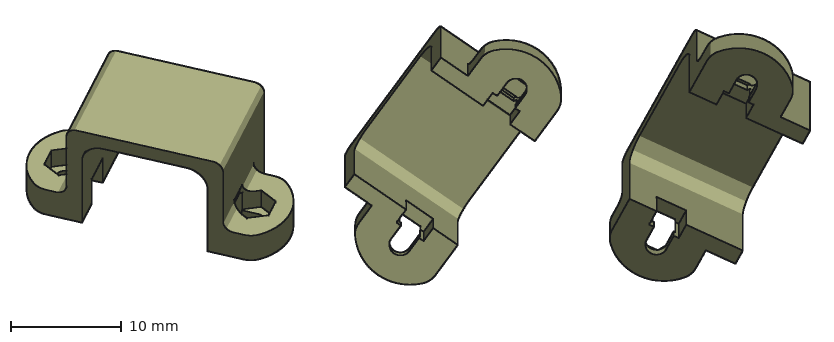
import cadquery as cq
import math

total_length = 25.0
depth = 11.5
height = 11.0
bridge_width = 15.0
wall = 1.5
outer_radius = 1.0
inner_radius = 2.0

tab_width = 8.5
tab_height = 3.0
tab_end_radius = 5.0
tab_corner_radius = 2.0
foot_radius = 1.0

slot_width = 2.0
nut_diameter = 4.0
nut_floor = 1.0
hole_x = 9.0

notch_width = 3.0
notch_height = tab_height

half_bridge = bridge_width / 2
half_opening = half_bridge - wall
tab_center_y = tab_width / 2
cut_top = tab_height + foot_radius


def make_bridge():
    """Rounded block with a rounded channel through it along Y."""
    block = cq.Workplane("XY").box(bridge_width, depth, height, centered=(True, False, False))
    block = block.edges("|Y and >Z").fillet(outer_radius)
    channel = cq.Workplane("XY").box(
        2 * half_opening, depth, height - wall, centered=(True, False, False)
    )
    return block.cut(channel.edges("|Y and >Z").fillet(inner_radius))


def make_tab():
    """Left tab with an arched end and a concave foot against the wall."""
    half_width = tab_width / 2
    end_center_x = tab_end_radius - total_length / 2

    corner_y = half_width - tab_corner_radius
    center_distance = tab_end_radius - tab_corner_radius
    corner_dx = math.sqrt(center_distance**2 - corner_y**2)
    corner_x = end_center_x - corner_dx
    join_x = end_center_x - corner_dx * tab_end_radius / center_distance
    join_y = corner_y * tab_end_radius / center_distance
    middle_angle = (math.atan2(corner_y, corner_dx) + math.pi / 2) / 2
    middle_x = corner_x - tab_corner_radius * math.cos(middle_angle)
    middle_y = corner_y + tab_corner_radius * math.sin(middle_angle)

    plate = (
        cq.Workplane("XY")
        .moveTo(-half_opening, -half_width)
        .lineTo(corner_x, -half_width)
        .threePointArc((middle_x, -middle_y), (join_x, -join_y))
        .threePointArc((-total_length / 2, 0), (join_x, join_y))
        .threePointArc((middle_x, middle_y), (corner_x, half_width))
        .lineTo(-half_opening, half_width)
        .close()
        .extrude(tab_height)
        .translate((0, tab_center_y, 0))
    )

    foot_reach = half_bridge + foot_radius
    foot_block = cq.Workplane("XY").box(
        foot_radius, tab_width, foot_radius, centered=False
    ).translate((-foot_reach, 0, tab_height))
    foot_round = (
        cq.Workplane("XZ", origin=(-foot_reach, 0, cut_top))
        .circle(foot_radius)
        .extrude(-tab_width)
    )
    return plate.union(foot_block.cut(foot_round))


def make_hole():
    """Left slot and nut pocket, open inward through the wall notch."""
    slot_length = hole_x - half_opening
    round_end = cq.Workplane("XY").circle(slot_width / 2).extrude(tab_height)
    straight = cq.Workplane("XY").box(
        slot_length, slot_width, tab_height, centered=(False, True, False)
    )
    notch = cq.Workplane("XY").box(
        wall, notch_width, notch_height, centered=(False, True, False)
    ).translate((hole_x - half_bridge, 0, 0))
    pocket = (
        cq.Workplane("XY", origin=(0, 0, nut_floor))
        .polygon(6, nut_diameter)
        .extrude(cut_top - nut_floor)
        .rotate((0, 0, 0), (0, 0, 1), 30)
    )
    hole = round_end.union(straight).union(notch).union(pocket)
    return hole.translate((-hole_x, tab_center_y, 0))


tab = make_tab()
hole = make_hole()
result = make_bridge().union(tab).union(tab.mirror("YZ"))
result = result.cut(hole).cut(hole.mirror("YZ"))
result = result.translate((0, -depth / 2, 0))